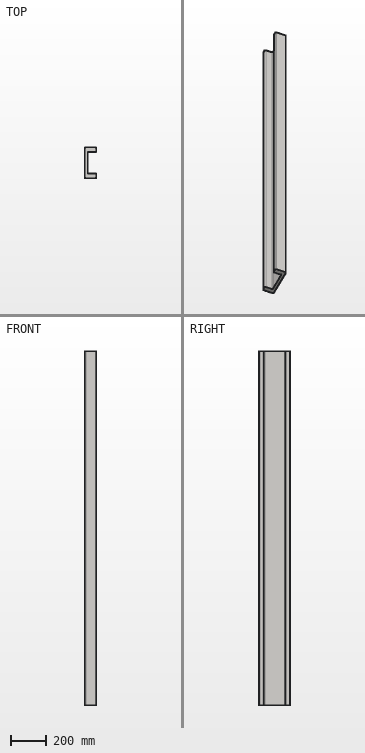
import cadquery as cq

length = 2000.0
height = 175.0
width = 65.0

web_thickness = 18.0
flange_thickness = 28.0
outer_radius = 5.0
tip_radius = 5.0
root_radius = 5.0

bar = cq.Workplane("XY").box(width, height, length).edges("|Z").fillet(outer_radius)

channel_height = height - 2 * flange_thickness
channel = (
    cq.Workplane("XY")
    .box(width, channel_height, length)
    .edges("|Z and <X")
    .fillet(root_radius)
    .translate((web_thickness, 0, 0))
)
section = bar.cut(channel)

for side in (-1, 1):
    tip_edge = (width / 2, side * channel_height / 2, 0)
    section = section.edges(cq.NearestToPointSelector(tip_edge)).fillet(tip_radius)

result = section